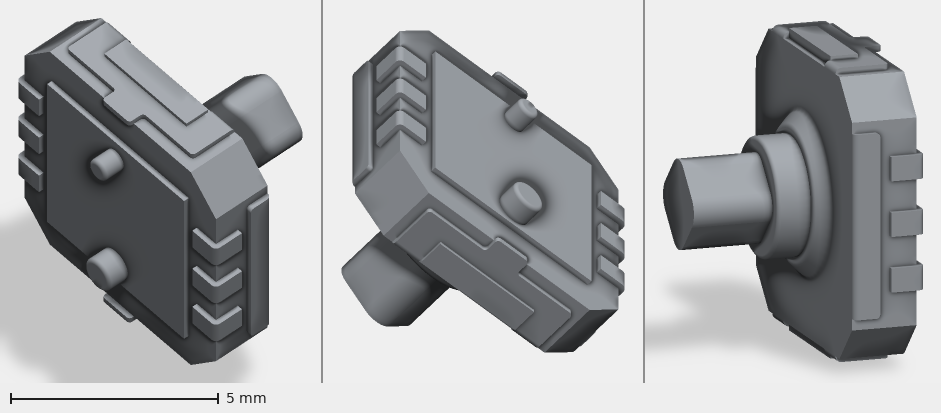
import cadquery as cq
import math


overall_height = 7.5
sheet = 0.15
edge_round = 0.1

base_width = 7.0
base_depth = 1.5
corner_cut = 0.92
plate_width = 5.0
peg_length = 0.6
peg_offset = 1.9
small_peg_diameter = 0.6
large_peg_diameter = 0.9

flap_width = 4.6
side_flap_drop = 0.52
end_flap_drop = 1.2
tongue_width = 1.0
tab_width = 3.0
tab_drop = 0.7
dome_height = 0.35
dome_base_radius = 2.055
collar_height = 0.85
collar_diameter = 3.0
stem_height = 2.0
stem_width = 1.88
stem_corner_round = 0.5

terminal_width = 0.6
terminal_pitch = 1.38
terminal_foot = 0.7
terminal_rise = 0.7

half_width = base_width / 2
foot_level = -base_depth - sheet
dome_top = sheet + dome_height
collar_top = dome_top + collar_height
stem_top = collar_top + stem_height
tab_thickness = (overall_height - base_width) / 2 - sheet


def plane_below(top):
    """Workplane at Y = top whose extrusions run towards -Y."""
    return cq.Workplane("XZ", origin=(0, top, 0))


def about_axis(shape, angle):
    """Turn a shape around the stem axis, which is the Y axis."""
    return shape.rotate((0, 0, 0), (0, 1, 0), angle)


def octagon(top, depth):
    """Square block with its four corners cut off at 45 degrees."""
    block = plane_below(top).rect(base_width, base_width).extrude(depth)
    return block.edges("|Y").chamfer(corner_cut)


def make_peg(diameter, height):
    peg = plane_below(foot_level).center(0, height).circle(diameter / 2).extrude(peg_length)
    return peg.faces("<Y").edges().fillet(edge_round)


def make_base():
    plate = plane_below(-base_depth).rect(plate_width, plate_width).extrude(sheet)
    return (
        octagon(0, base_depth)
        .union(plate)
        .union(make_peg(small_peg_diameter, peg_offset))
        .union(make_peg(large_peg_diameter, -peg_offset))
    )


def make_flap(drop):
    """Flap over the +Z side of the base, rounded along the bend and at its two free corners."""
    outer = half_width + sheet
    bend_middle = sheet * math.sin(math.radians(45))
    flap = (
        cq.Workplane("YZ")
        .moveTo(-drop, half_width)
        .lineTo(-drop, outer)
        .lineTo(0, outer)
        .threePointArc((bend_middle, half_width + bend_middle), (sheet, half_width))
        .close()
        .extrude(flap_width / 2, both=True)
    )
    return flap.edges("|Z and <Y").fillet(edge_round)


def end_strip(width, top, bottom, level, thickness):
    """Flat strip lying on height Z = level, from Y = bottom to Y = top."""
    strip = cq.Workplane("XY", origin=(0, (top + bottom) / 2, level))
    return strip.rect(width, top - bottom).extrude(thickness)


def make_end_flap():
    """Flap with a tongue down to the foot level, a raised tab and the bend cut away above the tab."""
    tongue = end_strip(tongue_width, 0, foot_level, half_width, sheet)
    tongue = tongue.edges("|Z and <Y").fillet(edge_round)
    flap = make_flap(end_flap_drop).union(tongue)

    root_x = tongue_width / 2 + edge_round
    tongue_root = cq.selectors.BoxSelector(
        (-root_x, -end_flap_drop - edge_round, half_width - sheet),
        (root_x, -end_flap_drop + edge_round, half_width + 2 * sheet),
    )
    flap = flap.edges("|Z").edges(tongue_root).fillet(edge_round)

    tab = end_strip(tab_width, 0, -tab_drop, half_width + sheet, tab_thickness)
    bend_relief = end_strip(tab_width, sheet, 0, half_width, sheet)
    return flap.union(tab).cut(bend_relief)


def make_dome():
    """Octagonal top plate with a 45 degree dome blended into it."""
    dome = (
        cq.Workplane("XY")
        .moveTo(0, 0)
        .lineTo(dome_base_radius, 0)
        .lineTo(dome_base_radius, sheet)
        .lineTo(dome_base_radius - dome_height, dome_top)
        .lineTo(0, dome_top)
        .close()
        .revolve(360, (0, 0, 0), (0, 1, 0))
    )
    plate_and_dome = octagon(sheet, sheet).union(dome)
    return plate_and_dome.faces("%CONE").edges("%CIRCLE").fillet(sheet)


def make_stem():
    """Round collar carrying a square stem turned by 45 degrees, with rounded corners."""
    collar = plane_below(collar_top).circle(collar_diameter / 2).extrude(collar_height)
    collar = collar.faces(">Y").edges().fillet(edge_round)
    stem = plane_below(stem_top).rect(stem_width, stem_width).extrude(stem_height)
    stem = stem.edges("|Y").fillet(stem_corner_round)
    return collar.union(about_axis(stem, 45))


def make_cover():
    cover = make_dome().union(make_stem())
    for angle in (0, 180):
        cover = cover.union(about_axis(make_end_flap(), angle))
        cover = cover.union(about_axis(make_flap(side_flap_drop), angle + 90))
    return cover


def make_terminal(side, height):
    """L-shaped strip wrapped around the back edge of the base; side is -1 or 1 along X."""
    outer = half_width + sheet
    inner = half_width - terminal_foot
    top = terminal_rise - base_depth
    terminal = (
        cq.Workplane("XY", origin=(0, 0, height - terminal_width / 2))
        .polyline(
            [
                (side * inner, foot_level),
                (side * outer, foot_level),
                (side * outer, top),
                (side * half_width, top),
                (side * half_width, -base_depth),
                (side * inner, -base_depth),
            ]
        )
        .close()
        .extrude(terminal_width)
    )
    outer_bend = "<X and <Y" if side < 0 else ">X and <Y"
    return terminal.edges(outer_bend).fillet(sheet)


base = make_base()
cover = make_cover()
terminals = [
    make_terminal(side, row * terminal_pitch).val()
    for side in (-1, 1)
    for row in (-1, 0, 1)
]

result = cq.Compound.makeCompound([base.val(), cover.val(), *terminals])